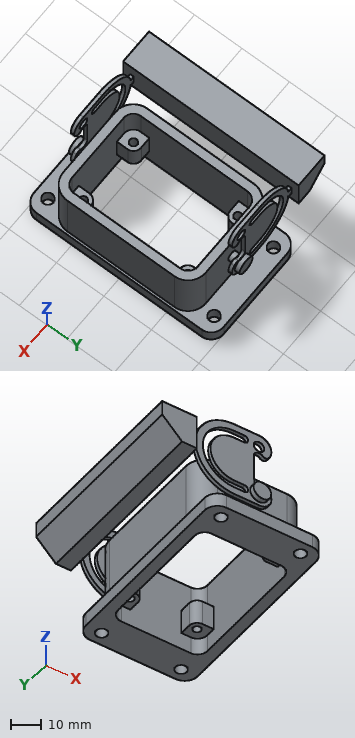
import cadquery as cq
import math

flange_width = 45.0
flange_length = 80.0
flange_height = 5.5
flange_corner_radius = 5.2
mount_hole_diameter = 4.5
mount_spacing_x = 32.0
mount_spacing_y = 70.0

body_width = 43.0
body_length = 60.0
body_corner_radius = 7.5
body_top = 29.3
wall_thickness = 3.5

boss_hole_diameter = 3.0
boss_spacing_x = 27.0
boss_spacing_y = 44.0
boss_radius = 3.2
boss_bottom = 7.0
boss_height = 10.0

plate_thickness = 1.5
plate_outer_y = 34.0
plate_mid_z = 29.8
pivot_offset = 10.5
lobe_radius = 5.0
cam_center_x = -10.0
latch_hole_diameter = 4.2
relief_radius = 2.0
relief_gap = 4.8
hook_tip_radius = 1.6
slot_rim = 3.0
slot_width = 3.0
slot_end_x = -5.9

pin_diameter = 4.0
pin_head_diameter = 7.1
pin_head_height = 2.0

bar_size = 14.0
bar_length = 74.0
bar_chamfer = 8.0
bar_outer_x = -41.0
bar_top = 37.7
neck_height = 4.0

body_inner_width = body_width - 2 * wall_thickness
body_inner_length = body_length - 2 * wall_thickness
body_inner_radius = body_corner_radius - wall_thickness
cam_radius = pivot_offset + lobe_radius
pivot_z = plate_mid_z - pivot_offset
bar_inner_x = bar_outer_x + bar_size
bar_bottom = bar_top - bar_size


def rounded_block(width, length, radius, bottom, top):
    """Upright block centred on the Z axis, with rounded vertical edges."""
    block = cq.Workplane("XY").workplane(offset=bottom).rect(width, length).extrude(top - bottom)
    return block.edges("|Z").fillet(radius)


def housing_shell():
    """Flange with its mounting holes and the body, before the inside is opened."""
    flange = rounded_block(flange_width, flange_length, flange_corner_radius, 0, flange_height)
    mount_holes = (
        cq.Workplane("XY")
        .rect(mount_spacing_x, mount_spacing_y, forConstruction=True)
        .vertices()
        .circle(mount_hole_diameter / 2)
        .extrude(flange_height)
    )
    body = rounded_block(body_width, body_length, body_corner_radius, 0, body_top)
    return flange.cut(mount_holes).union(body)


def corner_bosses():
    """Four screw bosses in the inner corners, each rounded around its hole."""
    boss_top = boss_bottom + boss_height
    inner_x = boss_spacing_x / 2 - boss_radius
    inner_y = boss_spacing_y / 2 - boss_radius
    size_x = (body_inner_width + wall_thickness) / 2 - inner_x
    size_y = (body_inner_length + wall_thickness) / 2 - inner_y
    bosses = cq.Workplane("XY")
    for side_x in (-1, 1):
        for side_y in (-1, 1):
            boss = (
                cq.Workplane("XY", origin=(0, 0, boss_bottom))
                .center(side_x * (inner_x + size_x / 2), side_y * (inner_y + size_y / 2))
                .rect(size_x, size_y)
                .extrude(boss_height)
            )
            free_edge = cq.selectors.NearestToPointSelector(
                (side_x * inner_x, side_y * inner_y, (boss_bottom + boss_top) / 2)
            )
            bosses = bosses.add(boss.edges("|Z").edges(free_edge).fillet(boss_radius))
    block = bosses.combine()
    envelope = rounded_block(
        body_inner_width + wall_thickness,
        body_inner_length + wall_thickness,
        body_inner_radius + wall_thickness / 2,
        boss_bottom,
        boss_top,
    )
    holes = (
        cq.Workplane("XY", origin=(0, 0, boss_bottom))
        .rect(boss_spacing_x, boss_spacing_y, forConstruction=True)
        .vertices()
        .circle(boss_hole_diameter / 2)
        .extrude(boss_height)
    )
    return block.intersect(envelope).cut(holes)


def hook_points(sign):
    """Named outline points of one hook; sign is +1 for the upper and -1 for the lower one.

    The tip circle touches the lobe from inside and the round notch from outside.
    """
    tip_to_lobe = lobe_radius - hook_tip_radius
    tip_to_relief = relief_radius + hook_tip_radius
    tip_drop = (tip_to_lobe**2 - tip_to_relief**2 + relief_gap**2) / (2 * relief_gap)
    tip_x = math.sqrt(tip_to_lobe**2 - tip_drop**2)

    lobe_angle = math.atan2(-tip_drop, tip_x)
    notch_angle = math.atan2(relief_gap - tip_drop, tip_x)
    tip_middle = -math.pi / 2
    notch_middle = (notch_angle + math.pi) / 2
    lobe_middle = (math.pi / 2 + lobe_angle) / 2

    def on_circle(x, drop, radius, angle):
        """Point on a circle whose centre lies `drop` from the lobe centre, towards the middle."""
        height = pivot_offset - drop + radius * math.sin(angle)
        return (x + radius * math.cos(angle), sign * height)

    return {
        "top": on_circle(0, 0, lobe_radius, math.pi / 2),
        "lobe_middle": on_circle(0, 0, lobe_radius, lobe_middle),
        "lobe_end": on_circle(0, 0, lobe_radius, lobe_angle),
        "tip_middle": on_circle(tip_x, tip_drop, hook_tip_radius, tip_middle),
        "tip_end": on_circle(0, relief_gap, relief_radius, notch_angle),
        "notch_middle": on_circle(0, relief_gap, relief_radius, notch_middle),
        "notch_end": on_circle(0, relief_gap, relief_radius, math.pi),
    }


def plate_slot(plane):
    """C-shaped slot that follows the round back of a lever plate."""
    outer = cam_radius - slot_rim
    inner = outer - slot_width
    end_tip_x = slot_end_x + slot_width / 2
    middle = (outer + inner) / 2
    return (
        plane.moveTo(slot_end_x, outer)
        .lineTo(cam_center_x, outer)
        .threePointArc((cam_center_x - outer, 0), (cam_center_x, -outer))
        .lineTo(slot_end_x, -outer)
        .threePointArc((end_tip_x, -middle), (slot_end_x, -inner))
        .lineTo(cam_center_x, -inner)
        .threePointArc((cam_center_x - inner, 0), (cam_center_x, inner))
        .lineTo(slot_end_x, inner)
        .threePointArc((end_tip_x, middle), (slot_end_x, outer))
        .close()
        .extrude(plate_thickness)
    )


def lever_plate():
    """Lever plate on the -Y side, with its neck reaching into the handle bar."""
    plane = cq.Workplane("XZ", origin=(0, plate_thickness - plate_outer_y, plate_mid_z))
    upper = hook_points(1)
    lower = hook_points(-1)
    plate = (
        plane.moveTo(cam_center_x, cam_radius)
        .lineTo(*upper["top"])
        .threePointArc(upper["lobe_middle"], upper["lobe_end"])
        .threePointArc(upper["tip_middle"], upper["tip_end"])
        .threePointArc(upper["notch_middle"], upper["notch_end"])
        .lineTo(*lower["notch_end"])
        .threePointArc(lower["notch_middle"], lower["tip_end"])
        .threePointArc(lower["tip_middle"], lower["lobe_end"])
        .threePointArc(lower["lobe_middle"], lower["top"])
        .lineTo(cam_center_x, -cam_radius)
        .threePointArc((cam_center_x - cam_radius, 0), (cam_center_x, cam_radius))
        .close()
        .extrude(plate_thickness)
    )
    neck_end_x = cam_center_x - cam_radius + slot_rim / 2
    neck = (
        plane.center((bar_inner_x + neck_end_x) / 2, 0)
        .rect(neck_end_x - bar_inner_x, neck_height)
        .extrude(plate_thickness)
    )
    latch_hole = plane.center(0, pivot_offset).circle(latch_hole_diameter / 2).extrude(plate_thickness)
    return plate.union(neck).cut(plate_slot(plane)).cut(latch_hole)


def pivot_pin():
    """Headed pin that joins the -Y lever plate to the body wall."""
    pin_root_y = -(body_length - wall_thickness) / 2
    shaft = (
        cq.Workplane("XZ", origin=(0, pin_root_y, pivot_z))
        .circle(pin_diameter / 2)
        .extrude(plate_outer_y + pin_root_y)
    )
    head = (
        cq.Workplane("XZ", origin=(0, -plate_outer_y, pivot_z))
        .circle(pin_head_diameter / 2)
        .extrude(pin_head_height)
    )
    return shaft.union(head)


def handle_bar():
    """Square bar along Y with one large chamfer on its lower outer edge."""
    return (
        cq.Workplane("XZ", origin=(0, bar_length / 2, 0))
        .moveTo(bar_outer_x, bar_top)
        .lineTo(bar_inner_x, bar_top)
        .lineTo(bar_inner_x, bar_bottom)
        .lineTo(bar_outer_x + bar_chamfer, bar_bottom)
        .lineTo(bar_outer_x, bar_bottom + bar_chamfer)
        .close()
        .extrude(bar_length)
    )


inside = rounded_block(body_inner_width, body_inner_length, body_inner_radius, 0, body_top)
housing = housing_shell().cut(inside).union(corner_bosses())

lever_side = lever_plate().union(pivot_pin())
result = housing.union(lever_side).union(lever_side.mirror("XZ")).union(handle_bar())